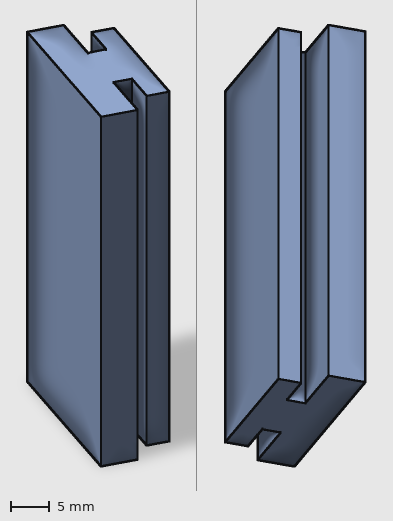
import cadquery as cq

length = 50.8
base_width = 25.4
depth = 10.75

base_thickness = 5.1
flange_width = 19.05
flange_thickness = 3.15
stem_width = 8.8
stem_depth = depth - base_thickness - flange_thickness


def bar(width, thickness, front_y):
    """Full-length bar centred on X, with its front face at front_y."""
    return cq.Workplane("XY").box(
        width, thickness, length, centered=(True, False, False)
    ).translate((0, front_y, 0))


base = bar(base_width, base_thickness, 0)
stem = bar(stem_width, stem_depth, base_thickness)
flange = bar(flange_width, flange_thickness, base_thickness + stem_depth)

result = base.union(stem).union(flange)